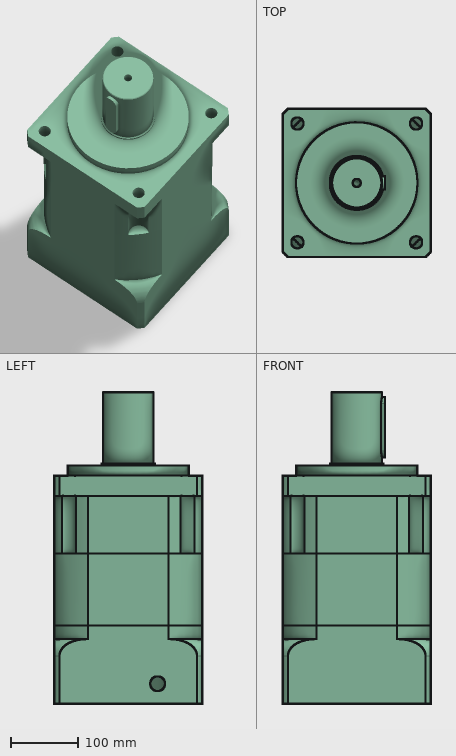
import cadquery as cq
import math

body_width = 220
half_width = body_width / 2
flange_corner_radius = 150
stage_corner_radius = 125

base_top = 116.5
ring_stage_top = 223
flange_bottom = 308.5
flange_thickness = 30
pilot_height = 15
collar_height = 2.5
flange_top = flange_bottom + flange_thickness
pilot_top = flange_top + pilot_height
collar_top = pilot_top + collar_height
shaft_top = 462.5

shoulder_radius = flange_corner_radius - stage_corner_radius
shoulder_top = 96
shoulder_bottom = shoulder_top - shoulder_radius
hub_diameter = 110
hub_recess_diameter = 150
hub_recess_depth = shoulder_bottom
access_hole_diameter = 22
access_hole_y = -43.5
access_hole_z = 30

bolt_spacing = 176
bolt_hole_diameter = 18
bolt_relief_diameter = 30

pilot_diameter = 180
collar_diameter = 80
shaft_diameter = 75
shaft_chamfer = 1
centre_hole_diameter = 12
centre_hole_depth = 25
drill_point_angle = 118

key_width = 20
key_height = 12
key_length = 90
key_outer_x = 42
key_bottom = 365
key_centre_z = key_bottom + key_length / 2


def square_block(bottom, top):
    return (
        cq.Workplane("XY")
        .workplane(offset=bottom)
        .rect(body_width, body_width)
        .extrude(top - bottom)
    )


def cylinder(diameter, bottom, top):
    return (
        cq.Workplane("XY")
        .workplane(offset=bottom)
        .circle(diameter / 2)
        .extrude(top - bottom)
    )


def round_cornered_block(corner_radius, bottom, top):
    """Square block whose corners are turned about the Z axis."""
    return square_block(bottom, top).intersect(cylinder(2 * corner_radius, bottom, top))


def bolt_cylinders(diameter, bottom, top):
    """Four cylinders on the square bolt pattern."""
    return (
        cq.Workplane("XY")
        .workplane(offset=bottom)
        .rect(bolt_spacing, bolt_spacing, forConstruction=True)
        .vertices()
        .circle(diameter / 2)
        .extrude(top - bottom)
    )


def make_base():
    """Motor-side base: wide corners that round over into the stage corners."""
    arc_offset = shoulder_radius * math.sqrt(0.5)
    turned_envelope = (
        cq.Workplane("XZ")
        .lineTo(flange_corner_radius, 0)
        .lineTo(flange_corner_radius, shoulder_bottom)
        .threePointArc(
            (stage_corner_radius + arc_offset, shoulder_bottom + arc_offset),
            (stage_corner_radius, shoulder_top),
        )
        .lineTo(stage_corner_radius, base_top)
        .lineTo(0, base_top)
        .close()
        .revolve(360, (0, 0, 0), (0, 1, 0))
    )
    access_hole = (
        cq.Workplane("YZ")
        .workplane(offset=-half_width)
        .center(access_hole_y, access_hole_z)
        .circle(access_hole_diameter / 2)
        .extrude(half_width)
    )
    hub = cylinder(hub_diameter, 0, hub_recess_depth)
    hub_recess = cylinder(hub_recess_diameter, 0, hub_recess_depth).cut(hub)
    block = square_block(0, base_top).intersect(turned_envelope)
    return block.cut(hub_recess).cut(access_hole.cut(hub))


def make_ring_stage():
    return round_cornered_block(stage_corner_radius, base_top, ring_stage_top)


def make_relieved_stage():
    """Stage under the flange, with a half-round relief at each bolt."""
    block = round_cornered_block(stage_corner_radius, ring_stage_top, flange_bottom)
    return block.cut(bolt_cylinders(bolt_relief_diameter, ring_stage_top, flange_bottom))


def make_key():
    return (
        cq.Workplane("YZ")
        .workplane(offset=key_outer_x - key_height)
        .center(0, key_centre_z)
        .slot2D(key_length, key_width, 90)
        .extrude(key_height)
    )


def make_centre_hole():
    """Drilled hole with a conical bottom, used as a cutter."""
    radius = centre_hole_diameter / 2
    point_length = radius / math.tan(math.radians(drill_point_angle / 2))
    hole_bottom = shaft_top - centre_hole_depth
    return (
        cq.Workplane("XZ")
        .moveTo(0, shaft_top)
        .lineTo(radius, shaft_top)
        .lineTo(radius, hole_bottom)
        .lineTo(0, hole_bottom - point_length)
        .close()
        .revolve(360, (0, 0, 0), (0, 1, 0))
    )


def make_output_flange():
    """Mounting flange in one piece with the pilot, the collar and the keyed shaft."""
    flange = round_cornered_block(flange_corner_radius, flange_bottom, flange_top)
    flange = flange.cut(bolt_cylinders(bolt_hole_diameter, flange_bottom, flange_top))
    pilot = cylinder(pilot_diameter, flange_top, pilot_top)
    collar = cylinder(collar_diameter, pilot_top, collar_top)
    shaft = cylinder(shaft_diameter, collar_top, shaft_top).faces(">Z").chamfer(shaft_chamfer)
    shaft = shaft.union(make_key()).cut(make_centre_hole())
    return flange.union(pilot).union(collar).union(shaft)


base = make_base()
ring_stage = make_ring_stage()
relieved_stage = make_relieved_stage()
output_flange = make_output_flange()

result = cq.Compound.makeCompound([
    base.val(),
    ring_stage.val(),
    relieved_stage.val(),
    output_flange.val(),
])